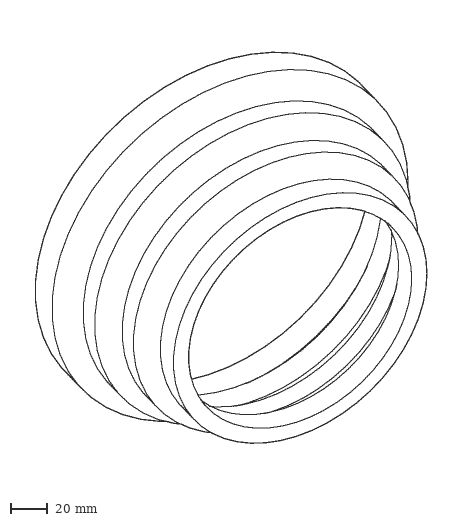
import cadquery as cq

length = 94.0

rim_end = 18.2
second_step_start = 30.4
second_bore_start = 27.0
second_step_end = 42.8
third_step_start = 55.5
third_step_end = 67.7
last_step_start = 79.9

outer_steps = [
    (0.0, rim_end, 112.5),
    (second_step_start, second_step_end, 100.0),
    (third_step_start, third_step_end, 90.0),
    (last_step_start, length, 80.0),
]
bore_steps = [
    (0.0, rim_end, 99.0),
    (second_bore_start, second_step_end, 90.5),
    (third_step_start, third_step_end, 80.3),
    (last_step_start, length, 70.5),
]


def step_profile(steps):
    """Points of a stepped half outline; cones join neighbouring cylinders."""
    points = []
    for start, end, radius in steps:
        points.append((start, radius))
        points.append((end, radius))
    return points


wall_outline = step_profile(outer_steps) + step_profile(bore_steps)[::-1]
wall_section = cq.Workplane("XY").polyline(wall_outline).close()
result = wall_section.revolve(360, (0, 0, 0), (1, 0, 0))